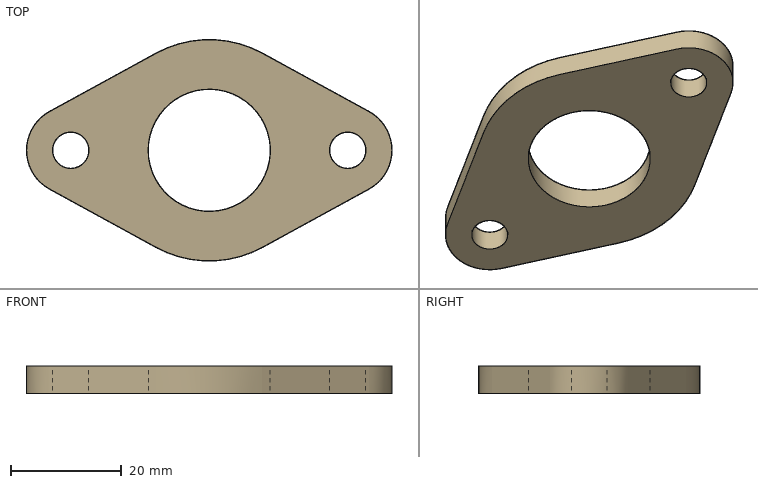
import cadquery as cq
import math

thickness = 5.0
bolt_spacing = 50.0
body_radius = 20.0
ear_radius = 8.0
bore_diameter = 22.0
bolt_hole_diameter = 6.5

ear_x = bolt_spacing / 2
ear_tip_x = ear_x + ear_radius

normal_x = (body_radius - ear_radius) / ear_x
normal_y = math.sqrt(1 - normal_x**2)

body_tangent_x = body_radius * normal_x
body_tangent_y = body_radius * normal_y
ear_tangent_x = ear_x + ear_radius * normal_x
ear_tangent_y = ear_radius * normal_y


def make_plate():
    """Diamond-shaped plate with its round body and ears joined by tangent lines."""
    return (
        cq.Workplane("XY")
        .moveTo(-body_tangent_x, body_tangent_y)
        .threePointArc((0, body_radius), (body_tangent_x, body_tangent_y))
        .lineTo(ear_tangent_x, ear_tangent_y)
        .threePointArc((ear_tip_x, 0), (ear_tangent_x, -ear_tangent_y))
        .lineTo(body_tangent_x, -body_tangent_y)
        .threePointArc((0, -body_radius), (-body_tangent_x, -body_tangent_y))
        .lineTo(-ear_tangent_x, -ear_tangent_y)
        .threePointArc((-ear_tip_x, 0), (-ear_tangent_x, ear_tangent_y))
        .close()
        .extrude(thickness)
    )


def cut_holes(plate):
    """Cut the central bore and the bolt hole in each ear through the plate."""
    return (
        plate.faces(">Z")
        .workplane(origin=(0, 0, thickness))
        .hole(bore_diameter)
        .faces(">Z")
        .workplane(origin=(0, 0, thickness))
        .pushPoints([(-ear_x, 0), (ear_x, 0)])
        .hole(bolt_hole_diameter)
    )


result = cut_holes(make_plate())